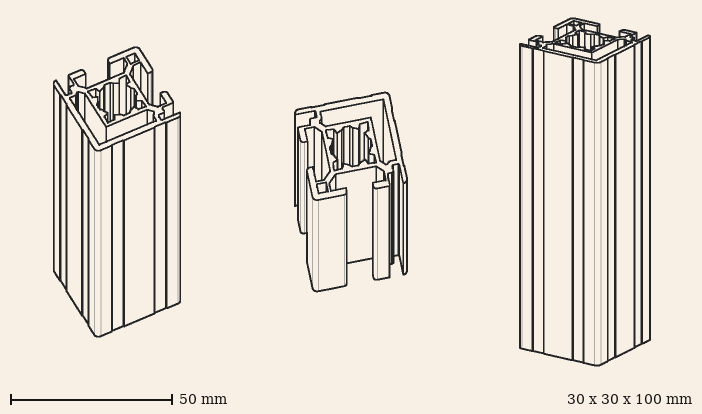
import cadquery as cq
import math

width = 30.0
length = 100.0
half = width / 2
corner_radius = 1.5

wall = 2.1
inner_face = half - wall

core_outer = 7.9
core_inner = 6.5
bore_radius = 6.0
pocket_corner = 6.7
pocket_edge = 4.1
tooth_tip_near = 3.4
tooth_tip_far = 4.9
relief_base_half = 1.7
relief_tip_half = 1.0

slot_half_width = 4.2
lip_radius = 1.0
closed_side = 9.0
closed_bevel_end = 6.5
open_side = 8.4
open_bevel_end = 6.4

cell_inner_edge = 9.9

groove_near = 9.3
groove_far = 13.5
groove_step_depth = 10.9
groove_step_end = 11.3
groove_floor = 8.5
groove_bevel = 0.3
mouth_bevel = 0.2
step_bevel = 0.6

chamber_end = 7.1
chamber_peak = 9.4
chamber_peak_flat = 0.5

band_start = 5.3
band_end = 9.6
band_depth = 0.2


def prism(points):
    """Full-length prism with the given XY outline."""
    return cq.Workplane("XY").polyline(points).close().extrude(length)


def mirrored(point):
    """Reflect a point across the symmetry diagonal."""
    x, y = point
    return (-y, -x)


def with_mirror(points):
    """Prism together with its reflection across the symmetry diagonal."""
    return prism(points).union(prism([mirrored(p) for p in points]))


def quarter_turns(solid):
    """Four copies of a solid, a quarter turn apart about Z."""
    turned = solid
    for quarter in range(1, 4):
        turned = turned.union(solid.rotate((0, 0, 0), (0, 0, 1), 90 * quarter))
    return turned


def make_block():
    """Solid square bar with rounded corners."""
    block = cq.Workplane("XY").rect(width, width).extrude(length)
    return block.edges("|Z").fillet(corner_radius)


def make_t_slots():
    """Undercut slots opening through the +Y and -X faces."""
    closed_bevel = closed_side - closed_bevel_end
    open_bevel = open_side - open_bevel_end
    return with_mirror([
        (-slot_half_width, half),
        (-slot_half_width, inner_face),
        (-closed_side, inner_face),
        (-closed_side, core_outer + closed_bevel),
        (-closed_bevel_end, core_outer),
        (open_bevel_end, core_outer),
        (open_side, core_outer + open_bevel),
        (open_side, inner_face),
        (slot_half_width, inner_face),
        (slot_half_width, half),
    ])


def round_slot_lips(body):
    """Round the outer edges of both T-slot mouths."""
    for side in (-1, 1):
        lip = (side * slot_half_width, half)
        for x, y in (lip, mirrored(lip)):
            edge = cq.selectors.NearestToPointSelector((x, y, length / 2))
            body = body.edges(edge).fillet(lip_radius)
    return body


def make_cover_grooves():
    """Stepped grooves opening through the +Y and -X faces."""
    return with_mirror([
        (groove_near - mouth_bevel, half),
        (groove_near, half - mouth_bevel),
        (groove_near, groove_step_depth + groove_bevel),
        (groove_near + groove_bevel, groove_step_depth),
        (groove_step_end - step_bevel, groove_step_depth),
        (groove_step_end, groove_step_depth - groove_bevel),
        (groove_step_end, groove_floor + groove_bevel),
        (groove_step_end + groove_bevel, groove_floor),
        (groove_far - groove_bevel, groove_floor),
        (groove_far, groove_floor + groove_bevel),
        (groove_far, half),
    ])


def make_chamber():
    """L-shaped hollow wrapped around the +X and -Y sides of the core."""
    peak_height = open_bevel_end + chamber_peak - core_outer
    upper_end = [
        (core_outer, open_bevel_end),
        (chamber_peak, peak_height),
        (chamber_peak + chamber_peak_flat, peak_height),
        (chamber_peak + chamber_peak_flat + peak_height - chamber_end, chamber_end),
        (inner_face, chamber_end),
    ]
    lower_end = [mirrored(p) for p in reversed(upper_end)]
    return prism(
        upper_end + [(inner_face, -inner_face)] + lower_end + [(core_outer, -core_outer)]
    )


def make_bore():
    """Round bore with flared corner pockets and a tapered relief at each wall."""
    bore = cq.Workplane("XY").circle(bore_radius).extrude(length)
    pocket = prism([
        (pocket_corner, pocket_corner),
        (pocket_edge, core_inner),
        (tooth_tip_near, tooth_tip_far),
        (tooth_tip_far, tooth_tip_near),
        (core_inner, pocket_edge),
    ])
    relief_base = math.sqrt(bore_radius**2 - relief_base_half**2)
    relief = prism([
        (0, 0),
        (relief_base_half, relief_base),
        (relief_tip_half, core_inner),
        (-relief_tip_half, core_inner),
        (-relief_base_half, relief_base),
    ])
    return bore.union(quarter_turns(pocket)).union(quarter_turns(relief))


def make_cell():
    """Closed square cell in the (-X, +Y) corner."""
    return prism([
        (-inner_face, cell_inner_edge),
        (-cell_inner_edge, cell_inner_edge),
        (-cell_inner_edge, inner_face),
        (-inner_face, inner_face),
    ])


def make_face_bands():
    """Shallow bands with 45 degree sides along the +X and -Y faces."""
    floor = half - band_depth
    bands = cq.Workplane("XY")
    for side in (-1, 1):
        bands = bands.add(with_mirror([
            (half, side * band_start),
            (floor, side * (band_start + band_depth)),
            (floor, side * (band_end - band_depth)),
            (half, side * band_end),
        ]))
    return bands.combine()


body = round_slot_lips(make_block().cut(make_t_slots()))
result = (
    body.cut(make_cover_grooves())
    .cut(make_chamber())
    .cut(make_bore())
    .cut(make_cell())
    .cut(make_face_bands())
)